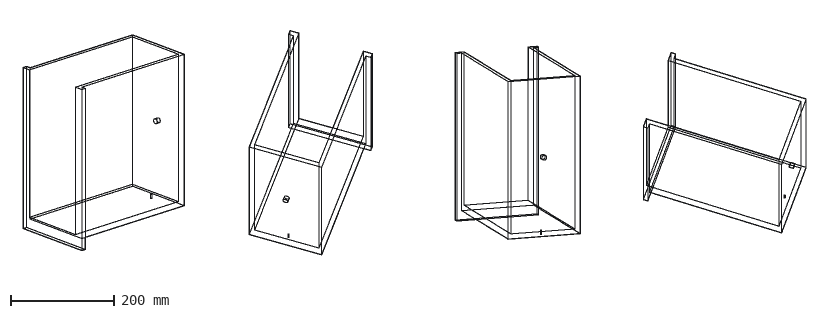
import cadquery as cq

flange_width = 168.0
flange_height = 333.0
flange_thickness = 9.3
side_overhang = 10.0
bottom_overhang = 20.0

total_depth = 280.0
wall = 8.3
box_width = flange_width - 2 * side_overhang
cavity_width = box_width - 2 * wall
floor_top = bottom_overhang + wall

back_hole_diameter = 10.0
back_hole_height = (bottom_overhang + flange_height) / 2
drain_diameter = 2.5
drain_from_back = 19.0


def block(width, front, back, bottom, top):
    """Block centred on X, spanning the given Y and Z limits."""
    return (
        cq.Workplane("XY")
        .box(width, back - front, top - bottom, centered=(True, False, False))
        .translate((0, front, bottom))
    )


flange = block(flange_width, 0, flange_thickness, 0, flange_height)
box = block(box_width, 0, total_depth, bottom_overhang, flange_height)
cavity = block(cavity_width, 0, total_depth - wall, floor_top, flange_height)

back_hole = (
    cq.Workplane("XZ", origin=(0, total_depth, back_hole_height))
    .circle(back_hole_diameter / 2)
    .extrude(2 * wall, both=True)
)

drain_hole = (
    cq.Workplane("XY", origin=(0, total_depth - drain_from_back, bottom_overhang))
    .circle(drain_diameter / 2)
    .extrude(wall)
)

result = flange.union(box).cut(cavity).cut(back_hole).cut(drain_hole)